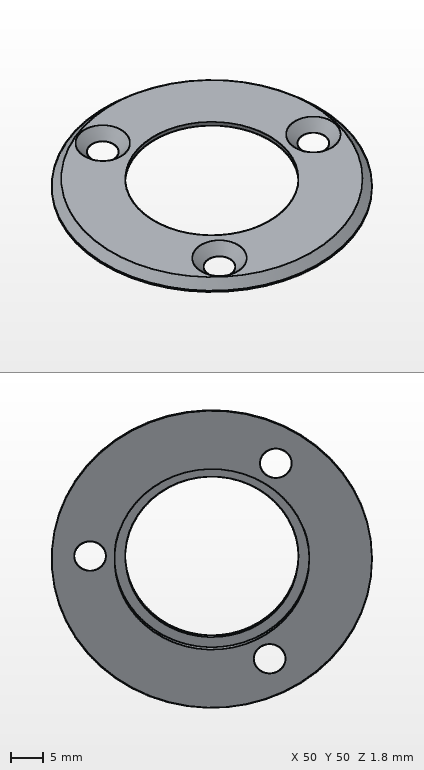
import cadquery as cq

outer_diameter = 50.0
thickness = 1.8
lip_height = 0.3
bevel = thickness - lip_height
bore_diameter = 27.0

recess_diameter = 30.4
ledge_thickness = 0.8
recess_depth = thickness - ledge_thickness

screw_count = 3
screw_circle_radius = 19.0
first_screw_angle = 90.0
screw_small_diameter = 4.9
screw_large_diameter = screw_small_diameter + 2 * thickness


def make_ring():
    """Disc with a bevelled top edge, a bore and a recess under the bore."""
    disc = cq.Workplane("XY").circle(outer_diameter / 2).extrude(thickness)
    disc = disc.faces(">Z").edges().chamfer(bevel)
    bore = cq.Workplane("XY").circle(bore_diameter / 2).extrude(thickness)
    recess = cq.Workplane("XY").circle(recess_diameter / 2).extrude(recess_depth)
    return disc.cut(bore).cut(recess)


def make_screw_cones():
    """Cones that widen toward the top face, evenly spaced around the ring."""
    cone = cq.Solid.makeCone(screw_small_diameter / 2, screw_large_diameter / 2, thickness)
    return (
        cq.Workplane("XY")
        .polarArray(screw_circle_radius, first_screw_angle, 360, screw_count)
        .eachpoint(lambda place: cone.moved(place))
    )


result = make_ring().cut(make_screw_cones())